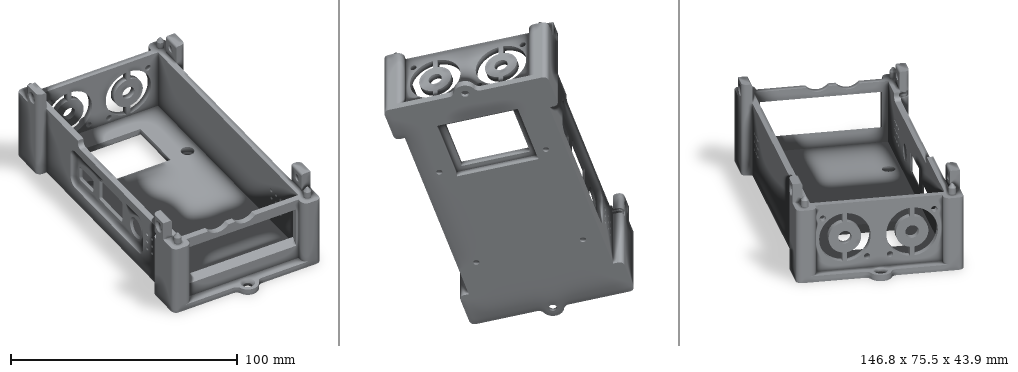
import cadquery as cq
import math


length = 146.8
width = 75.5
height = 43.9
wall_top = 34.9
wall = 3.0
floor = 5.6
lip = 1.0

ear_radius = 5.0
base_length = length - 2 * ear_radius
base_thickness = 3.0
case_length = 127.7
case_width = 66.3
cavity_length = case_length - 2 * wall
cavity_width = case_width - 2 * wall
front_y = -case_width / 2

post_inner_x = 49.9
post_inner_y = 28.6
tab_outer_x = 59.0
post_round = 2.5
post_inner_round = 3.0
tab_side_round = 2.3
tab_edge_round = 1.0
tab_hole_x = 55.0
tab_hole_z = 39.5
tab_hole_dia = 3.4
tab_sink_dia = 5.6

pin_dia = 3.4
pin_tip_dia = 1.0
pin_shoulder_z = 38.2
pin_tip_z = 39.9

ear_blend = 3.0
ear_hole_dia = 3.7
ear_sink_dia = 6.5

boss_hole_dia = 2.8
boss_bore_dia = 6.0
boss_bore_depth = 2.6
boss_x = (-25.5, 32.1)
boss_y = 24.5
hatch_x = (-50.0, -23.8)
hatch_y = (-16.7, 14.8)
hatch_seat_width = 3.0
hatch_seat_depth = 2.8

fan_y = 15.1
fan_z = 18.3
fan_dia = 23.2
fan_hub_dia = 14.7
fan_bore_dia = 6.0
fan_strut = 2.0
fan_screw_dia = 2.8
fan_screw_offset = 10.0

panel_x = (-29.2, 33.6)
panel_z = (7.3, 27.1)
panel_depth = wall - lip
panel_cove = 3.0
panel_corner = 4.0
window_corner = 1.5
windows = (
    (-24.8, -12.5, 11.9, 19.1),
    (-7.5, 12.8, 11.9, 23.0),
)
dial_x = 24.2
dial_z = 16.5
dial_dia = 10.1

sound_hole_dia = 1.8
sound_pitch = 4.0
sound_x = 41.5
sound_z = 18.3

relief_x = (-22.9, 47.8)
relief_z = 31.4
relief_round = 2.3
groove_x = (47.7, 52.7)
groove_z = (31.4, 34.5)
groove_depth = 0.7
pocket_rim = 0.9
pocket_depth = 1.2

port_half_width = 27.5
port_z = (12.9, 30.0)
notch_y = (1.4, -12.3)
notch_width = 10.3
notch_depth = 2.3


def block(x, y, z):
    """Box between the given (from, to) pairs."""
    return cq.Workplane("XY").box(
        x[1] - x[0], y[1] - y[0], z[1] - z[0], centered=False
    ).translate((x[0], y[0], z[0]))


def four_ways(solid):
    """The solid with its mirror images in the X and Y directions."""
    both = solid.union(solid.mirror("YZ"))
    return both.union(both.mirror("XZ"))


def cylinder_y(dia, x, z, y_from, y_to):
    """Cylinder along Y."""
    plane = cq.Plane(origin=(x, y_from, z), xDir=(1, 0, 0), normal=(0, 1, 0))
    return cq.Workplane(plane).circle(dia / 2).extrude(y_to - y_from)


def cylinder_x(dia, y, z, x_from, x_to):
    """Cylinder along X."""
    plane = cq.Plane(origin=(x_from, y, z), xDir=(0, 1, 0), normal=(1, 0, 0))
    return cq.Workplane(plane).circle(dia / 2).extrude(x_to - x_from)


def cone(point, direction, dia_from, dia_to):
    """45 degree cone narrowing from the point along the direction."""
    return cq.Workplane(cq.Solid.makeCone(
        dia_from / 2, dia_to / 2, (dia_from - dia_to) / 2, cq.Vector(*point), cq.Vector(*direction)
    ))


def shell():
    """Solid body over the base plate, before the cavity is cut."""
    on_floor = (True, True, False)
    base = cq.Workplane("XY").box(base_length, case_width, base_thickness, centered=on_floor)
    walls = cq.Workplane("XY").box(case_length, case_width, wall_top, centered=on_floor)
    return base.union(walls)


def corner_post():
    """Corner post with its lid tab and locating pin at +X +Y."""
    outer_x = base_length / 2
    outer_y = width / 2
    pin_x = case_length / 2
    pin_y = case_width / 2
    arm = block((post_inner_x, outer_x), (pin_y, outer_y), (0, height))
    arm = arm.edges("|Z and >Y and <X").fillet(tab_side_round)
    arm = arm.edges("|X and >Z and <Y").fillet(tab_edge_round)
    arm = arm.cut(block((tab_outer_x, outer_x), (pin_y, outer_y), (wall_top, height)))
    corner = block((pin_x, outer_x), (post_inner_y, outer_y), (0, wall_top))
    post = arm.union(corner)
    post = post.edges("|Z and >X and >Y").fillet(post_round)
    post = post.edges("|Z and >X and <Y").fillet(post_inner_round)
    pin = cq.Workplane("XY").circle(pin_dia / 2).extrude(pin_shoulder_z)
    tip = cq.Workplane(cq.Solid.makeCone(
        pin_dia / 2, pin_tip_dia / 2, pin_tip_z - pin_shoulder_z
    )).translate((0, 0, pin_shoulder_z))
    post = post.union(pin.union(tip).translate((pin_x, pin_y, 0)))
    post = post.cut(cylinder_y(tab_hole_dia, tab_hole_x, tab_hole_z, pin_y, outer_y))
    return post.cut(cone((tab_hole_x, outer_y, tab_hole_z), (0, -1, 0), tab_sink_dia, tab_hole_dia))


def screw_ear():
    """Rounded ear at +X, blended into the end of the base plate."""
    reach = ear_radius + ear_blend
    blend_y = (reach ** 2 - ear_blend ** 2) ** 0.5
    touch_x = ear_blend * ear_radius / reach
    touch_y = blend_y * ear_radius / reach
    arc_mid_angle = (math.pi + math.atan2(-blend_y, -ear_blend) % (2 * math.pi)) / 2
    mid_x = ear_blend + ear_blend * math.cos(arc_mid_angle)
    mid_y = blend_y + ear_blend * math.sin(arc_mid_angle)
    ear = (
        cq.Workplane("XY")
        .moveTo(-wall, -blend_y)
        .lineTo(0, -blend_y)
        .threePointArc((mid_x, -mid_y), (touch_x, -touch_y))
        .threePointArc((ear_radius, 0), (touch_x, touch_y))
        .threePointArc((mid_x, mid_y), (0, blend_y))
        .lineTo(-wall, blend_y)
        .close()
        .extrude(base_thickness)
    )
    return ear.translate((base_length / 2, 0, 0))


def ear_screw_hole():
    hole = cq.Workplane("XY").circle(ear_hole_dia / 2).extrude(base_thickness)
    sink = cone((0, 0, base_thickness), (0, 0, -1), ear_sink_dia, ear_hole_dia)
    return hole.union(sink).translate((base_length / 2, 0, 0))


def floor_openings():
    cut = block(hatch_x, hatch_y, (0, floor))
    seat = hatch_seat_width
    cut = cut.union(block(
        (hatch_x[0] - seat, hatch_x[1] + seat),
        (hatch_y[0] - seat, hatch_y[1] + seat),
        (0, hatch_seat_depth),
    ))
    for x in boss_x:
        for y in (-boss_y, boss_y):
            spot = cq.Workplane("XY").center(x, y)
            cut = cut.union(spot.circle(boss_hole_dia / 2).extrude(floor))
            bore = spot.workplane(offset=floor - boss_bore_depth)
            cut = cut.union(bore.circle(boss_bore_dia / 2).extrude(boss_bore_depth))
    return cut


def fan_grille(side):
    """Ring of slots, centre bore and two screw holes; side is the sign of its Y position."""
    span = (-case_length / 2, -case_length / 2 + wall)
    y = side * fan_y
    cut = cylinder_x(fan_dia, y, fan_z, *span)
    cut = cut.cut(cylinder_x(fan_hub_dia, y, fan_z, *span))
    cut = cut.cut(block(span, (y - fan_strut / 2, y + fan_strut / 2), (0, wall_top)))
    cut = cut.union(cylinder_x(fan_bore_dia, y, fan_z, *span))
    for step in (-fan_screw_offset, fan_screw_offset):
        cut = cut.union(cylinder_x(fan_screw_dia, y + side * step, fan_z + step, *span))
    return cut


def control_panel():
    """Coved recess with tapered openings through the web behind it."""
    grow = panel_cove - (panel_cove ** 2 - (panel_cove - panel_depth) ** 2) ** 0.5
    web_y = front_y + panel_depth
    recess = block(
        (panel_x[0] - grow, panel_x[1] + grow),
        (web_y - 2 * panel_cove, web_y),
        (panel_z[0] - grow, panel_z[1] + grow),
    )
    cut = recess.edges("|Y").fillet(panel_corner + grow).faces(">Y").edges().fillet(panel_cove)
    plane = cq.Plane(origin=(0, web_y, 0), xDir=(-1, 0, 0), normal=(0, 1, 0))
    for x0, x1, z0, z1 in windows:
        outline = cq.Sketch().rect(x1 - x0, z1 - z0).vertices().fillet(window_corner)
        opening = (
            cq.Workplane(plane).center(-(x0 + x1) / 2, (z0 + z1) / 2)
            .placeSketch(outline).extrude(lip, taper=45)
        )
        cut = cut.union(opening)
    return cut.union(cone((dial_x, web_y, dial_z), (0, 1, 0), dial_dia, dial_dia - 2 * lip))


def sound_holes():
    steps = (-sound_pitch, 0, sound_pitch)
    cut = cq.Workplane("XY")
    for dx in steps:
        for dz in steps:
            cut = cut.union(cylinder_y(sound_hole_dia, sound_x + dx, sound_z + dz, front_y, -front_y))
    return cut


def front_relief():
    relief = block(relief_x, (front_y, front_y + wall), (relief_z, wall_top + relief_round))
    return relief.edges("|Y and <Z").fillet(relief_round)


def corner_groove():
    """Groove that follows the front wall and the side of the +X post, with a flat-bottomed pocket in it."""
    cut = block(groove_x, (-width / 2, front_y + groove_depth), groove_z)
    core = block(
        (post_inner_x + groove_depth, base_length / 2), (groove_depth - width / 2, front_y + wall), groove_z
    )
    cut = cut.cut(core.edges("|Z and <X and <Y").fillet(tab_side_round - groove_depth))
    pocket = block(
        (groove_x[0] + pocket_rim, groove_x[1] - pocket_rim),
        (-width / 2, front_y + pocket_depth),
        (groove_z[0] + pocket_rim, groove_z[1] - pocket_rim),
    )
    return cut.union(pocket)


def port_opening():
    """Opening through the +X wall, with a sill that slopes down to the outside at 45 degrees."""
    inner_x = cavity_length / 2
    outer_x = case_length / 2
    profile = [(inner_x, port_z[0]), (outer_x, port_z[0] - wall), (outer_x, port_z[1]), (inner_x, port_z[1])]
    return cq.Workplane("XZ").polyline(profile).close().extrude(port_half_width, both=True)


def cable_notches():
    radius = ((notch_width / 2) ** 2 + notch_depth ** 2) / (2 * notch_depth)
    centre_z = wall_top - notch_depth + radius
    cut = cq.Workplane("XY")
    for y in notch_y:
        cut = cut.union(cylinder_x(2 * radius, y, centre_z, cavity_length / 2, case_length / 2))
    return cut


ear = screw_ear()
ear_hole = ear_screw_hole()
cavity = block(
    (-cavity_length / 2, cavity_length / 2), (-cavity_width / 2, cavity_width / 2), (floor, height)
)

result = shell().union(four_ways(corner_post()))
result = result.union(ear).union(ear.mirror("YZ"))
result = result.cut(cavity)
for opening in (
    ear_hole, ear_hole.mirror("YZ"), floor_openings(), fan_grille(-1), fan_grille(1),
    control_panel(), sound_holes(), front_relief(), corner_groove(), port_opening(), cable_notches(),
):
    result = result.cut(opening)